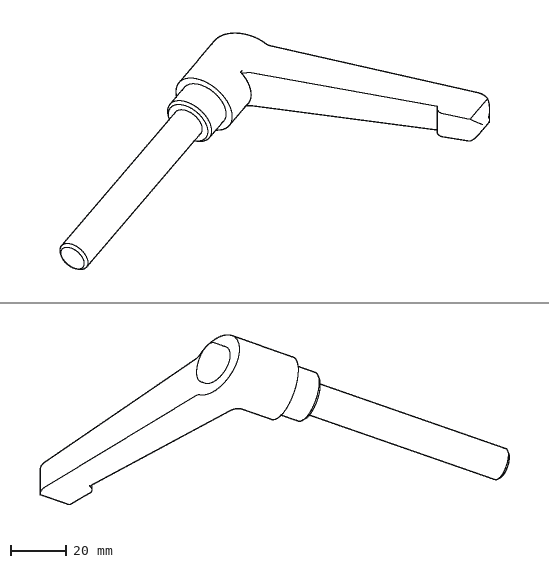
import cadquery as cq
import math


HUB_RADIUS = 12.0
HUB_TOP_RADIUS = 12.1
HUB_STEP_START = 13.0
HUB_STEP_END = 13.9
TAPER_END_X = 7.6

COLLAR_RADIUS = 9.4
COLLAR_LENGTH = 11.0
STUD_RADIUS = 6.0
STUD_LENGTH = 80.0
END_CHAMFER = 1.0

HEAD_RADIUS = 7.5
HEAD_TOP = 31.8
HEAD_FILLET = 1.0

TIP_X = 92.0
TOP_ANGLE = 16.06
TOP_Y_ON_AXIS = 27.85
HALF_WIDTH_ON_AXIS = 9.03
NOTCH_X = 75.75
NOTCH_Y = 38.3
UNDERSIDE_EDGE_SLOPE = 0.351
UNDERSIDE_RIDGE_SLOPE = 0.366
HUB_BLEND_RADIUS = 3.0

LIP_X = 79.7
LIP_Y = 36.45
LIP_MID_X = 76.8
LIP_MID_Y = 36.75
GRIP_ANGLE = 17.0
TIP_TOP_RADIUS = 6.0
TIP_BOTTOM_RADIUS = 5.5
TIP_DOME_RADIUS = 7.0
DOME_START_X = 89.0

DOME_CENTER_X = TIP_X - TIP_DOME_RADIUS
DOME_HALF_WIDTH = math.sqrt(TIP_DOME_RADIUS**2 - (DOME_START_X - DOME_CENTER_X) ** 2)
TOP_SLOPE = math.tan(math.radians(TOP_ANGLE))


def top_y(x):
    """Height of the sloping top plane shared by the hub and the arm."""
    return TOP_Y_ON_AXIS + TOP_SLOPE * x


def underside_y(x, slope):
    """Height of an underside line that ends at the notch."""
    return NOTCH_Y - slope * (NOTCH_X - x)


def make_hub_top():
    """Round hub blank with its top cut along the sloping plane."""
    hub = (
        cq.Workplane("XY")
        .rect(-HUB_TOP_RADIUS, top_y(HUB_TOP_RADIUS), centered=False)
        .revolve(360, (0, 0, 0), (0, 1, 0))
    )
    reach = 2 * HUB_RADIUS
    above = (
        cq.Workplane("XY")
        .moveTo(-reach, top_y(-reach))
        .lineTo(reach, top_y(reach))
        .lineTo(-reach, top_y(reach))
        .close()
        .extrude(reach, both=True)
    )
    return hub.cut(above)


def reduce_lower_hub(body):
    """Turn the hub down to its lower radius, with a short taper clear of the arm."""
    reach = 2 * HUB_RADIUS
    lower_part = cq.Workplane("XZ").rect(2 * reach, 2 * reach).extrude(-HUB_STEP_START)
    lower_hub = cq.Workplane("XZ").circle(HUB_RADIUS).extrude(-HUB_STEP_START)
    taper_ring = (
        cq.Workplane("XY")
        .moveTo(HUB_RADIUS, HUB_STEP_START)
        .lineTo(HUB_TOP_RADIUS, HUB_STEP_START)
        .lineTo(HUB_TOP_RADIUS, HUB_STEP_END)
        .close()
        .revolve(360, (0, 0, 0), (0, 1, 0))
    )
    arm_side = (
        cq.Workplane("XZ")
        .rect(reach, 2 * reach)
        .extrude(-reach)
        .translate((TAPER_END_X + reach / 2, 0, 0))
    )
    return body.cut(lower_part).union(lower_hub).cut(taper_ring.cut(arm_side))


def make_arm_profile():
    """Arm outline in the XY plane: middle line of the underside, notch, lip and rounded tip."""
    tip_bottom_y = LIP_Y + math.tan(math.radians(GRIP_ANGLE)) * (TIP_X - LIP_X)
    profile = (
        cq.Workplane("XY")
        .moveTo(0, top_y(0))
        .lineTo(0, underside_y(0, UNDERSIDE_RIDGE_SLOPE))
        .lineTo(NOTCH_X, NOTCH_Y)
        .threePointArc((LIP_MID_X, LIP_MID_Y), (LIP_X, LIP_Y))
        .lineTo(TIP_X, tip_bottom_y)
        .lineTo(TIP_X, top_y(TIP_X))
        .close()
        .extrude(HUB_RADIUS, both=True)
    )
    profile = profile.faces(">X").edges(">Y").fillet(TIP_TOP_RADIUS)
    return profile.faces(">X").edges("<Y").fillet(TIP_BOTTOM_RADIUS)


def make_arm_plan():
    """Arm outline in the XZ plane: tapering sides closed by the round dome."""
    return (
        cq.Workplane("XZ")
        .moveTo(0, -HALF_WIDTH_ON_AXIS)
        .lineTo(DOME_START_X, -DOME_HALF_WIDTH)
        .threePointArc((TIP_X, 0), (DOME_START_X, DOME_HALF_WIDTH))
        .lineTo(0, HALF_WIDTH_ON_AXIS)
        .close()
        .extrude(-top_y(TIP_X))
    )


def underside_section(x, half_span):
    """Section at x of the space under the arm, bowed down in the middle."""
    ridge_y = underside_y(x, UNDERSIDE_RIDGE_SLOPE)
    bow = underside_y(x, UNDERSIDE_EDGE_SLOPE) - ridge_y
    bow *= (half_span / HALF_WIDTH_ON_AXIS) ** 2
    corners = [
        cq.Vector(x, ridge_y + bow, -half_span),
        cq.Vector(x, 0, -half_span),
        cq.Vector(x, 0, half_span),
        cq.Vector(x, ridge_y + bow, half_span),
    ]
    edges = [cq.Edge.makeLine(a, b) for a, b in zip(corners, corners[1:])]
    if x < NOTCH_X:
        ridge = cq.Vector(x, ridge_y, 0)
        edges.append(cq.Edge.makeThreePointArc(corners[3], ridge, corners[0]))
    else:
        edges.append(cq.Edge.makeLine(corners[3], corners[0]))
    return cq.Wire.assembleEdges(edges)


def make_arm():
    """Whole arm from the stud axis to the tip; its bowed underside flattens at the notch."""
    start = underside_section(0, HUB_RADIUS)
    end = underside_section(NOTCH_X, HUB_RADIUS)
    below = cq.Workplane("XY").newObject([cq.Solid.makeLoft([start, end], True)])
    return make_arm_profile().intersect(make_arm_plan()).cut(below)


def make_collar_and_stud():
    """Collar under the hub and the plain stud, both chamfered at their lower ends."""
    collar = cq.Workplane("XZ").circle(COLLAR_RADIUS).extrude(COLLAR_LENGTH)
    collar = collar.faces("<Y").chamfer(END_CHAMFER)
    stud = cq.Workplane("XZ").circle(STUD_RADIUS).extrude(COLLAR_LENGTH + STUD_LENGTH)
    stud = stud.faces("<Y").chamfer(END_CHAMFER)
    return collar.union(stud)


def make_screw_head():
    """Round screw head with a rounded rim."""
    head = cq.Workplane("XZ").circle(HEAD_RADIUS).extrude(-HEAD_TOP)
    return head.faces(">Y").edges().fillet(HEAD_FILLET)


def blend_arm_into_hub(body):
    """Fillet the corner where the arm's sides and underside meet the hub."""
    corner_box = cq.selectors.BoxSelector(
        (HUB_RADIUS / 2, HUB_STEP_START, -HUB_RADIUS),
        (HUB_TOP_RADIUS + HUB_BLEND_RADIUS, top_y(HUB_RADIUS / 2), HUB_RADIUS),
    )
    return body.edges(corner_box).fillet(HUB_BLEND_RADIUS)


body = blend_arm_into_hub(make_hub_top().union(make_arm()))
body = reduce_lower_hub(body)
result = body.union(make_collar_and_stud()).union(make_screw_head())